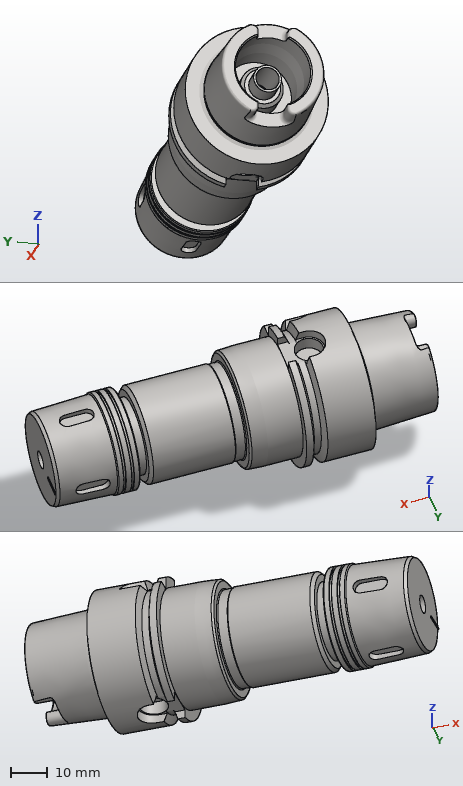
import cadquery as cq
import math


SHANK_TIP_RADIUS = 14.25
SHANK_BASE_RADIUS = 15.1
SHANK_TIP_ROUNDING = 0.7
TAPER_END_X = 17.9
LAND_END_X = 18.7
RELIEF_RADIUS = 14.9

FLANGE_START_X = 20.0
FLANGE_END_X = 40.0
FLANGE_RADIUS = 20.0
ROOT_BEVEL_RADIUS = 16.0
ROOT_BEVEL_LENGTH = 0.3
GRIP_GROOVE_CENTRE_X = 35.9
GRIP_GROOVE_FLOOR_WIDTH = 2.0
GRIP_GROOVE_MOUTH_WIDTH = 4.0
GRIP_GROOVE_RADIUS = 17.4

COLLAR_RADIUS = 17.0
COLLAR_TAPER_X = 50.0
COLLAR_END_X = 55.2
COLLAR_END_RADIUS = 16.75
COLLAR_CHAMFER = 0.6

NECK_RADIUS = 13.75
NECK_ROOT_BEVEL = 0.3
BODY_START_X = 58.2
BODY_END_X = 83.0
BODY_RADIUS = 14.0
BODY_START_CHAMFER = 0.25
BODY_END_CHAMFER = 1.0
NUT_NECK_RADIUS = 11.0

NUT_START_X = 85.9
NUT_RING_RADIUS = 14.5
NUT_RING_BEVEL = 0.3
NUT_RINGS_END_X = 92.4
NUT_TAPER_START_RADIUS = 14.1
NUT_TAPER_END_RADIUS = 13.45
NUT_CHAMFER_LENGTH = 1.0
NUT_END_RADIUS = 12.95
NUT_GROOVE_CENTRES_X = (88.0, 90.35)
NUT_GROOVE_WIDTH = 0.7
NUT_GROOVE_DEPTH = 0.5

OVERALL_LENGTH = 110.0
MARK_HEIGHT = 0.3
MARK_WIDTH = 0.3
MARK_INNER_RADIUS = 6.5
NUT_END_X = OVERALL_LENGTH - MARK_HEIGHT

SPANNER_SLOT_COUNT = 4
SPANNER_SLOT_LENGTH = 9.7
SPANNER_SLOT_WIDTH = 4.2
SPANNER_SLOT_CENTRE_X = 99.3
SPANNER_SLOT_FLOOR_RADIUS = 12.2

BORE_MOUTH_RADIUS = 10.9
BORE_RADIUS = 10.5
BORE_CHAMFER = 0.4
BORE_STRAIGHT_END_X = 8.0
BORE_TAPER_END_X = 12.8
BORE_FLOOR_RADIUS = 9.65
BORE_FLOOR_X = 20.0
TUBE_END_X = 7.0
TUBE_RADIUS = 3.9
TUBE_BORE_RADIUS = 3.25
TUBE_NUT_START_X = 13.0
TUBE_NUT_RADIUS = 6.0
TUBE_NUT_FACE_RADIUS = 5.05
TUBE_NUT_CHAMFER_LENGTH = 1.0
TUBE_SEAT_LENGTH = 1.0
THROUGH_HOLE_RADIUS = 2.5

DRIVE_SLOT_WIDTH = 8.2
UPPER_DRIVE_SLOT_DEPTH = 3.4
LOWER_DRIVE_SLOT_DEPTH = 6.0
DRIVE_SLOT_CORNER_RADIUS = 1.1
DRIVE_SLOT_FLARE_RADIUS = 1.65
DRIVE_SLOT_FLARE_Z = 11.1

KEYWAY_WIDTH = 9.0
KEYWAY_CENTRE_X = 32.5
KEYWAY_FLOOR_Z = 17.0
KEYWAY_HOLE_RADIUS = 4.0
KEYWAY_HOLE_DEPTH = 4.0
NOTCH_WALL_OFFSET = 12.1
NOTCH_END_RADIUS = 4.5


def revolve_about_x(points):
    """Solid of revolution about X from (x, radius) points."""
    return cq.Workplane("XY").polyline(points).close().revolve(360, (0, 0, 0), (1, 0, 0))


def groove_ring(centre_x, floor_width, mouth_width, floor_radius, outer_radius):
    """Ring that cuts a turned groove with straight or sloping flanks."""
    return revolve_about_x([
        (centre_x - floor_width / 2, floor_radius),
        (centre_x + floor_width / 2, floor_radius),
        (centre_x + mouth_width / 2, outer_radius),
        (centre_x - mouth_width / 2, outer_radius),
    ])


def mirrored_down(shape):
    return shape.mirror("XY")


def drive_slot(depth):
    """Upper drive slot whose side walls flare outwards along arcs near the shank surface."""
    half_width = DRIVE_SLOT_WIDTH / 2
    flare = DRIVE_SLOT_FLARE_RADIUS
    flare_top_z = DRIVE_SLOT_FLARE_Z + flare
    outside = FLANGE_RADIUS
    arc_side = flare * (1 - math.cos(math.pi / 4))
    arc_rise = flare * math.sin(math.pi / 4)
    slot = (
        cq.Workplane("YZ")
        .moveTo(-half_width, 0)
        .lineTo(half_width, 0)
        .lineTo(half_width, DRIVE_SLOT_FLARE_Z)
        .threePointArc(
            (half_width + arc_side, DRIVE_SLOT_FLARE_Z + arc_rise), (half_width + flare, flare_top_z)
        )
        .lineTo(outside, flare_top_z)
        .lineTo(outside, outside)
        .lineTo(-outside, outside)
        .lineTo(-outside, flare_top_z)
        .lineTo(-half_width - flare, flare_top_z)
        .threePointArc(
            (-half_width - arc_side, DRIVE_SLOT_FLARE_Z + arc_rise), (-half_width, DRIVE_SLOT_FLARE_Z)
        )
        .close()
        .extrude(depth)
    )
    slot = slot.faces(">X").edges().fillet(DRIVE_SLOT_CORNER_RADIUS)
    plate_size = 4 * FLANGE_RADIUS
    mouth_limit = 1.5 * FLANGE_RADIUS
    plate = cq.Workplane("YZ").rect(plate_size, plate_size).extrude(-SHANK_TIP_ROUNDING)
    mouth_region = cq.selectors.BoxSelector(
        (-SHANK_TIP_ROUNDING / 2, -mouth_limit, -mouth_limit),
        (SHANK_TIP_ROUNDING / 2, mouth_limit, mouth_limit),
    )
    return plate.union(slot).edges(mouth_region).fillet(SHANK_TIP_ROUNDING)


def shank():
    """Tapered shank with a rounded rim and both drive slots."""
    tapered = revolve_about_x([
        (0, 0),
        (0, SHANK_TIP_RADIUS),
        (TAPER_END_X, SHANK_BASE_RADIUS),
        (LAND_END_X, SHANK_BASE_RADIUS),
        (LAND_END_X, RELIEF_RADIUS),
        (FLANGE_START_X - ROOT_BEVEL_LENGTH, RELIEF_RADIUS),
        (FLANGE_START_X, ROOT_BEVEL_RADIUS),
        (FLANGE_START_X, 0),
    ])
    rounded = tapered.faces("<X").edges().fillet(SHANK_TIP_ROUNDING)
    upper_slot = drive_slot(UPPER_DRIVE_SLOT_DEPTH)
    lower_slot = mirrored_down(drive_slot(LOWER_DRIVE_SLOT_DEPTH))
    return rounded.cut(upper_slot).cut(lower_slot)


def keyway():
    """Upper flange keyway, open towards the collar, with a round recess in its closed end."""
    height = FLANGE_RADIUS - KEYWAY_FLOOR_Z
    base = cq.Workplane("XY").workplane(offset=KEYWAY_FLOOR_Z)
    straight = (
        base.center((KEYWAY_CENTRE_X + FLANGE_END_X) / 2, 0)
        .rect(FLANGE_END_X - KEYWAY_CENTRE_X, KEYWAY_WIDTH)
        .extrude(height)
    )
    end_base = cq.Workplane("XY", origin=(KEYWAY_CENTRE_X, 0, KEYWAY_FLOOR_Z))
    round_end = end_base.circle(KEYWAY_WIDTH / 2).extrude(height)
    recess = end_base.circle(KEYWAY_HOLE_RADIUS).extrude(-KEYWAY_HOLE_DEPTH)
    return straight.union(round_end).union(recess)


def orientation_notch():
    """Corner cut in the -Y, +Z side of the flange with a rounded closed end."""
    start_x = KEYWAY_CENTRE_X - NOTCH_END_RADIUS
    size = FLANGE_RADIUS - NOTCH_WALL_OFFSET
    notch = cq.Workplane("XY").box(FLANGE_END_X - start_x, size, size, centered=False)
    notch = notch.translate((start_x, -FLANGE_RADIUS, NOTCH_WALL_OFFSET))
    return notch.edges("<X and >Y").edges("|Z").fillet(NOTCH_END_RADIUS)


def flange():
    disc = (
        cq.Workplane("YZ")
        .workplane(offset=FLANGE_START_X)
        .circle(FLANGE_RADIUS)
        .extrude(FLANGE_END_X - FLANGE_START_X)
    )
    grip_groove = groove_ring(
        GRIP_GROOVE_CENTRE_X,
        GRIP_GROOVE_FLOOR_WIDTH,
        GRIP_GROOVE_MOUTH_WIDTH,
        GRIP_GROOVE_RADIUS,
        FLANGE_RADIUS,
    )
    keyways = keyway().union(mirrored_down(keyway()))
    return disc.cut(grip_groove).cut(keyways).cut(orientation_notch())


def collar_and_body():
    return revolve_about_x([
        (FLANGE_END_X, 0),
        (FLANGE_END_X, COLLAR_RADIUS),
        (COLLAR_TAPER_X, COLLAR_RADIUS),
        (COLLAR_END_X - COLLAR_CHAMFER, COLLAR_END_RADIUS),
        (COLLAR_END_X, COLLAR_END_RADIUS - COLLAR_CHAMFER),
        (COLLAR_END_X, NECK_RADIUS + NECK_ROOT_BEVEL),
        (COLLAR_END_X + NECK_ROOT_BEVEL, NECK_RADIUS),
        (BODY_START_X, NECK_RADIUS),
        (BODY_START_X + BODY_START_CHAMFER, BODY_RADIUS),
        (BODY_END_X - BODY_END_CHAMFER, BODY_RADIUS),
        (BODY_END_X, BODY_RADIUS - BODY_END_CHAMFER),
        (BODY_END_X, NUT_NECK_RADIUS),
        (NUT_START_X, NUT_NECK_RADIUS),
        (NUT_START_X, 0),
    ])


def spanner_slots():
    slot = (
        cq.Workplane("XY", origin=(SPANNER_SLOT_CENTRE_X, 0, SPANNER_SLOT_FLOOR_RADIUS))
        .slot2D(SPANNER_SLOT_LENGTH, SPANNER_SLOT_WIDTH)
        .extrude(NUT_RING_RADIUS - SPANNER_SLOT_FLOOR_RADIUS)
    )
    slots = slot
    for i in range(1, SPANNER_SLOT_COUNT):
        slots = slots.union(slot.rotate((0, 0, 0), (1, 0, 0), i * 360 / SPANNER_SLOT_COUNT))
    return slots


def clamping_nut():
    """Nut with two ring grooves, spanner slots and a raised radial index mark on its end face."""
    nut = revolve_about_x([
        (NUT_START_X, 0),
        (NUT_START_X, NUT_RING_RADIUS - NUT_RING_BEVEL),
        (NUT_START_X + NUT_RING_BEVEL, NUT_RING_RADIUS),
        (NUT_RINGS_END_X - NUT_RING_BEVEL, NUT_RING_RADIUS),
        (NUT_RINGS_END_X, NUT_TAPER_START_RADIUS),
        (NUT_END_X - NUT_CHAMFER_LENGTH, NUT_TAPER_END_RADIUS),
        (NUT_END_X, NUT_END_RADIUS),
        (NUT_END_X, 0),
    ])
    for centre_x in NUT_GROOVE_CENTRES_X:
        nut = nut.cut(groove_ring(
            centre_x,
            NUT_GROOVE_WIDTH,
            NUT_GROOVE_WIDTH,
            NUT_RING_RADIUS - NUT_GROOVE_DEPTH,
            NUT_RING_RADIUS,
        ))
    mark = cq.Workplane("XY").box(
        MARK_HEIGHT, NUT_END_RADIUS - MARK_INNER_RADIUS, MARK_WIDTH, centered=(False, False, True)
    ).translate((NUT_END_X, MARK_INNER_RADIUS, 0))
    return nut.cut(spanner_slots()).union(mark)


def bore_space():
    """Space inside the shank around the coolant tube, with the tube bore and through hole."""
    return revolve_about_x([
        (0, 0),
        (0, BORE_MOUTH_RADIUS),
        (BORE_CHAMFER, BORE_RADIUS),
        (BORE_STRAIGHT_END_X, BORE_RADIUS),
        (BORE_TAPER_END_X, BORE_FLOOR_RADIUS),
        (BORE_FLOOR_X, BORE_FLOOR_RADIUS),
        (BORE_FLOOR_X, TUBE_NUT_RADIUS),
        (TUBE_NUT_START_X + TUBE_NUT_CHAMFER_LENGTH, TUBE_NUT_RADIUS),
        (TUBE_NUT_START_X, TUBE_NUT_FACE_RADIUS),
        (TUBE_NUT_START_X, TUBE_RADIUS),
        (TUBE_END_X, TUBE_RADIUS),
        (TUBE_END_X, TUBE_BORE_RADIUS),
        (BORE_FLOOR_X, TUBE_BORE_RADIUS),
        (BORE_FLOOR_X - TUBE_SEAT_LENGTH, THROUGH_HOLE_RADIUS),
        (NUT_END_X, THROUGH_HOLE_RADIUS),
        (NUT_END_X, 0),
    ])


result = shank().union(flange()).union(collar_and_body()).union(clamping_nut()).cut(bore_space())